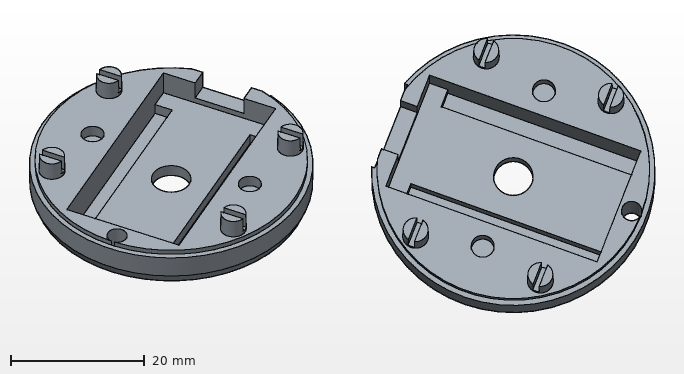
import cadquery as cq

flange_radius = 21.2
top_step_radius = 20.4
bottom_radius = 20.6
plate_height = 5.98
top_step_height = 0.8
bottom_bevel_height = 1.53

flat_width = 13.9
flat_y = 19.55

pocket_width = 18.55
pocket_length = 33.75
pocket_depth = 4.0
gap_width = 8.05
gap_depth = 3.0

channel_width = 2.85
channel_end_y = 13.95
channel_floor_thickness = 0.2

center_hole_diameter = 5.9
edge_hole_diameter = 3.0
edge_hole_y = -18.9
blind_hole_diameter = 3.45
blind_hole_depth = 1.9
blind_hole_x = 13.0

post_x = 15.0
post_y = 9.95
post_height = 3.0
post_base_radius = 1.95
post_top_radius = 1.85
post_slot_width = 0.98
post_slot_floor_height = 0.5


def box_from_top(x_size, y_min, y_max, depth, x_center=0.0):
    """Box reaching down from the top face of the plate."""
    return (
        cq.Workplane("XY")
        .workplane(offset=plate_height)
        .center(x_center, (y_min + y_max) / 2)
        .rect(x_size, y_max - y_min)
        .extrude(-depth)
    )


def make_plate():
    """Revolved disc with a bevelled bottom edge and a stepped top edge."""
    step_z = plate_height - top_step_height
    profile = [
        (0, 0),
        (bottom_radius, 0),
        (flange_radius, bottom_bevel_height),
        (flange_radius, step_z),
        (top_step_radius, step_z),
        (top_step_radius, plate_height),
        (0, plate_height),
    ]
    return cq.Workplane("XZ").polyline(profile).close().revolve(360, (0, 0), (0, 1))


def cut_flat(plate):
    return plate.cut(box_from_top(flat_width, flat_y, flange_radius, plate_height))


def cut_pocket(plate):
    pocket_end_y = pocket_length / 2
    plate = plate.cut(box_from_top(pocket_width, -pocket_end_y, pocket_end_y, pocket_depth))
    plate = plate.cut(box_from_top(gap_width, 0, flange_radius, gap_depth))
    channel_x = (pocket_width - channel_width) / 2
    channel_depth = plate_height - channel_floor_thickness
    for side in (-1, 1):
        channel = box_from_top(
            channel_width, -pocket_end_y, channel_end_y, channel_depth, side * channel_x
        )
        plate = plate.cut(channel)
    return plate


def drill(plate, points, diameter, depth):
    """Drill equal holes down from the top face of the plate."""
    drills = (
        cq.Workplane("XY")
        .workplane(offset=plate_height)
        .pushPoints(points)
        .circle(diameter / 2)
        .extrude(-depth)
    )
    return plate.cut(drills)


def cut_holes(plate):
    plate = drill(plate, [(0, 0)], center_hole_diameter, plate_height)
    plate = drill(plate, [(0, edge_hole_y)], edge_hole_diameter, plate_height)
    blind_hole_points = [(-blind_hole_x, 0), (blind_hole_x, 0)]
    return drill(plate, blind_hole_points, blind_hole_diameter, blind_hole_depth)


def make_post():
    """Tapered post standing on the origin, slotted along X."""
    profile = [(0, 0), (post_base_radius, 0), (post_top_radius, post_height), (0, post_height)]
    post = cq.Workplane("XZ").polyline(profile).close().revolve(360, (0, 0), (0, 1))
    slot = (
        cq.Workplane("XY")
        .workplane(offset=post_slot_floor_height)
        .rect(2 * post_base_radius, post_slot_width)
        .extrude(post_height)
    )
    return post.cut(slot)


result = cut_holes(cut_pocket(cut_flat(make_plate())))
for x_side in (-1, 1):
    for y_side in (-1, 1):
        post = make_post().translate((x_side * post_x, y_side * post_y, plate_height))
        result = result.union(post)